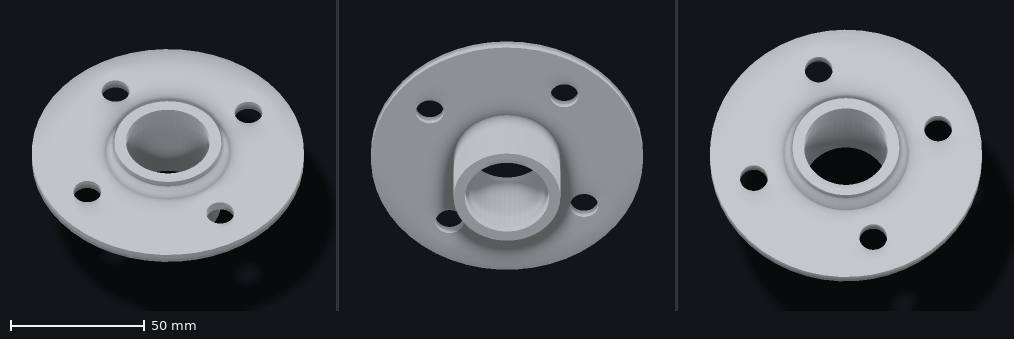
import cadquery as cq

flange_diameter = 102
flange_thickness = 4.0
tube_diameter = 40.0
bore_diameter = 31.5
length_below_flange = 25.0
length_above_flange = 6.0
weld_leg = 3.5
bolt_hole_diameter = 10.5
bolt_circle_diameter = 72.0
bolt_hole_count = 4

tube_length = length_below_flange + flange_thickness + length_above_flange
tube_radius = tube_diameter / 2

flange = cq.Workplane("XY").circle(flange_diameter / 2).extrude(flange_thickness)

tube = (
    cq.Workplane("XY", origin=(0, 0, -length_below_flange))
    .circle(tube_radius)
    .extrude(tube_length)
)

weld = (
    cq.Workplane("XZ")
    .moveTo(0, flange_thickness)
    .lineTo(tube_radius + weld_leg, flange_thickness)
    .lineTo(tube_radius, flange_thickness + weld_leg)
    .lineTo(0, flange_thickness + weld_leg)
    .close()
    .revolve(360, (0, 0), (0, 1))
)

bore = (
    cq.Workplane("XY", origin=(0, 0, -length_below_flange))
    .circle(bore_diameter / 2)
    .extrude(tube_length)
)

bolt_holes = (
    cq.Workplane("XY")
    .polarArray(bolt_circle_diameter / 2, 0, 360, bolt_hole_count)
    .circle(bolt_hole_diameter / 2)
    .extrude(flange_thickness)
)

result = flange.union(tube).union(weld).cut(bore).cut(bolt_holes)